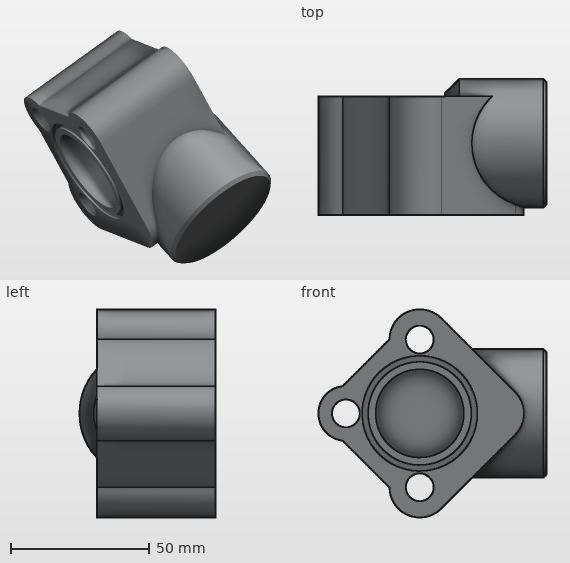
import cadquery as cq
import math

body_depth = 43.0
lobe_offset = 26.75
lobe_radius = 11.0
left_lobe_radius = 10.0
bolt_hole_diameter = 10.0
left_side_distance = 26.75

bore_diameter = 32.0
bore_depth = 13.0
groove_inner_diameter = 37.4
groove_outer_diameter = 41.8
groove_depth = 2.0

port_back = 49.4
port_radius = 23.4
port_axis_y = port_back - port_radius
port_start = 9.1
port_end = 46.0
port_inner_chamfer = 5.2
port_outer_chamfer = 1.3


def extrude_back(sketch, depth):
    """Extrude an XZ sketch from the front face toward +Y."""
    return sketch.extrude(-depth)


def make_body():
    """Diamond plate with rounded corners and an ear at each of three bolt holes."""
    left_reach = left_side_distance * math.sqrt(2)

    lobe_gap = left_reach - lobe_offset
    ear_x = -(lobe_gap + math.sqrt(2 * lobe_radius**2 - lobe_gap**2)) / 2
    ear_z = ear_x + left_reach

    left_ear_z = (lobe_gap + math.sqrt(2 * left_lobe_radius**2 - lobe_gap**2)) / 2
    left_ear_x = left_ear_z - left_reach

    lobe_tip = lobe_offset + lobe_radius
    tangent = lobe_radius / math.sqrt(2)
    shoulder = lobe_offset + tangent

    outline = (
        cq.Workplane("XZ")
        .moveTo(left_ear_x, left_ear_z)
        .lineTo(ear_x, ear_z)
        .threePointArc((0, lobe_tip), (tangent, shoulder))
        .lineTo(shoulder, tangent)
        .threePointArc((lobe_tip, 0), (shoulder, -tangent))
        .lineTo(tangent, -shoulder)
        .threePointArc((0, -lobe_tip), (ear_x, -ear_z))
        .lineTo(left_ear_x, -left_ear_z)
        .threePointArc((-lobe_offset - left_lobe_radius, 0), (left_ear_x, left_ear_z))
        .close()
    )
    return extrude_back(outline, body_depth)


def make_port():
    """Round side port, chamfered at the buried end and at the open end."""
    port = (
        cq.Workplane("YZ", origin=(port_start, port_axis_y, 0))
        .circle(port_radius)
        .extrude(port_end - port_start)
    )
    port = port.faces("<X").chamfer(port_inner_chamfer)
    return port.faces(">X").chamfer(port_outer_chamfer)


def make_bolt_holes():
    """Through holes in the top, bottom and left lobes."""
    centres = [(0, lobe_offset), (0, -lobe_offset), (-lobe_offset, 0)]
    sketch = cq.Workplane("XZ").pushPoints(centres).circle(bolt_hole_diameter / 2)
    return extrude_back(sketch, body_depth)


def make_bore():
    """Blind flat-bottomed bore from the front face."""
    return extrude_back(cq.Workplane("XZ").circle(bore_diameter / 2), bore_depth)


def make_groove():
    """Ring-shaped seal groove in the front face."""
    sketch = cq.Workplane("XZ").circle(groove_outer_diameter / 2).circle(groove_inner_diameter / 2)
    return extrude_back(sketch, groove_depth)


result = (
    make_body()
    .union(make_port())
    .cut(make_bolt_holes())
    .cut(make_bore())
    .cut(make_groove())
)